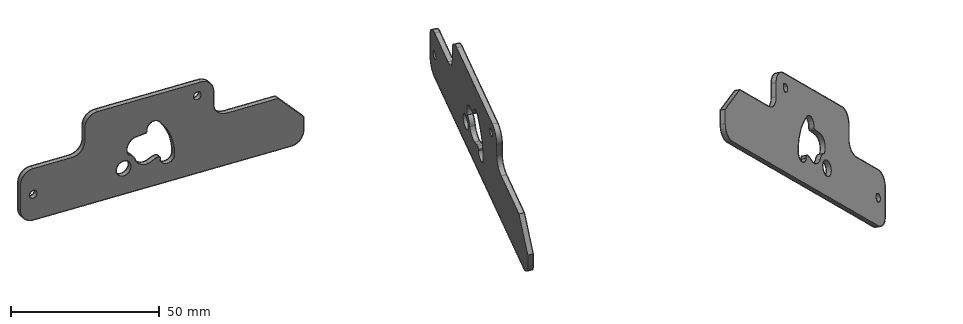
import cadquery as cq
import math

length = 110.0
height = 35.0
thickness = 2.0
shoulder_height = 20.0
tab_start = 25.0
tab_end = 75.0
corner_radius = 5.0
chamfer_size = 10.0

pin_diameter = 3.0
end_pin = (5.0, 10.0)
tab_pin = (68.6, 30.0)
pivot = (40.0, 10.0)
pivot_diameter = 5.7

cam_radius = 19.8
cam_sweep = 46.0
lobe_radius = 2.9


def cam_point(radius, angle):
    """Point at a radius and angle around the pivot."""
    turn = math.radians(angle)
    return (pivot[0] + radius * math.cos(turn), pivot[1] + radius * math.sin(turn))


def from_pivot(along, up):
    """Point offset from the pivot along the plate and upward."""
    return (pivot[0] + along, pivot[1] + up)


def make_plate():
    outline = [
        (0, 0),
        (length, 0),
        (length, shoulder_height - chamfer_size),
        (length - chamfer_size, shoulder_height),
        (tab_end, shoulder_height),
        (tab_end, height),
        (tab_start, height),
        (tab_start, shoulder_height),
        (0, shoulder_height),
    ]
    rounded_corners = [
        corner for corner in outline
        if corner not in (outline[2], outline[3])
    ]
    plate = cq.Workplane("YZ").polyline(outline).close().extrude(thickness)
    for y, z in rounded_corners:
        edge = cq.selectors.NearestToPointSelector((thickness / 2, y, z))
        plate = plate.edges("|X").edges(edge).fillet(corner_radius)
    return plate


def make_round_hole(center, diameter):
    return cq.Workplane("YZ").center(*center).circle(diameter / 2).extrude(thickness)


def make_cam_opening():
    return (
        cq.Workplane("YZ")
        .moveTo(*cam_point(cam_radius, 0))
        .threePointArc(from_pivot(cam_radius - lobe_radius, -lobe_radius), from_pivot(14.2, -0.8))
        .threePointArc(from_pivot(14.1, 0.3), from_pivot(13.4, 0.5))
        .lineTo(*from_pivot(12.5, 0.4))
        .lineTo(*from_pivot(9.7, -0.8))
        .threePointArc(from_pivot(6.5, -0.2), from_pivot(4.6, 1.8))
        .threePointArc(from_pivot(3.4, 3.8), from_pivot(1.9, 4.7))
        .threePointArc(from_pivot(1.3, 7.4), from_pivot(4.3, 10.8))
        .lineTo(*from_pivot(8.4, 11.2))
        .threePointArc(from_pivot(9.0, 11.5), from_pivot(9.1, 12.1))
        .lineTo(*from_pivot(9.1, 12.9))
        .threePointArc(from_pivot(11.5, 15.1), cam_point(cam_radius, cam_sweep))
        .threePointArc(cam_point(cam_radius, cam_sweep / 2), cam_point(cam_radius, 0))
        .close()
        .extrude(thickness)
    )


result = make_plate()
for pin_center in (end_pin, tab_pin):
    result = result.cut(make_round_hole(pin_center, pin_diameter))
result = result.cut(make_round_hole(pivot, pivot_diameter))
result = result.cut(make_cam_opening())